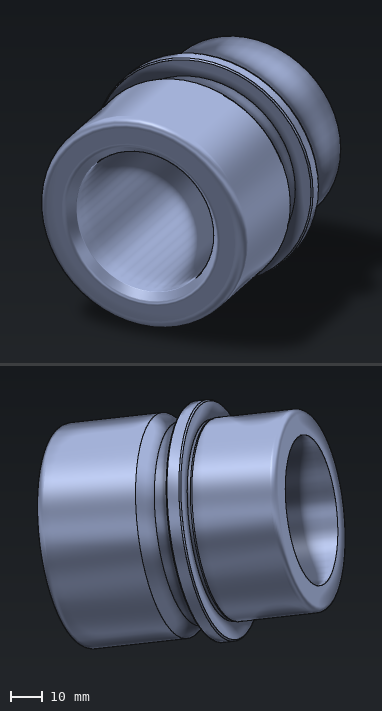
import cadquery as cq
import math

length = 80.0

head_radius = 36.0
neck_radius = 32.5
flange_radius = 38.5
relief_depth = 0.3

head_end = 34.0
taper_end = 39.0
flange_start = 45.0
flange_width = 5.0
relief_start = 51.7
relief_ramp = 0.6

front_fillet = 3.0
rear_fillet = 2.0
flange_chamfer = 0.5

bore_radius = 24.0
lead_in_outer_radius = 26.3
mouth_round = 2.0
throat_round = 0.5
cone_angle = math.pi / 4
half_cone_angle = cone_angle / 2
mouth_radius = lead_in_outer_radius + mouth_round * math.sin(cone_angle)
lead_in_start = mouth_round * (1 - math.cos(cone_angle))
lead_in_inner_radius = bore_radius + throat_round * (1 - math.cos(cone_angle))
lead_in_end = lead_in_start + lead_in_outer_radius - lead_in_inner_radius
throat_end = lead_in_end + throat_round * math.sin(cone_angle)


def revolve_about_y(profile):
    return profile.close().revolve(360, (0, 0, 0), (0, 1, 0))


def make_body():
    """Solid head, taper, neck and relief groove."""
    flange_end = flange_start + flange_width
    relief_radius = neck_radius - relief_depth
    profile = (
        cq.Workplane("XY")
        .lineTo(head_radius, 0)
        .lineTo(head_radius, head_end)
        .lineTo(neck_radius, taper_end)
        .lineTo(neck_radius, flange_end)
        .lineTo(relief_radius, flange_end)
        .lineTo(relief_radius, relief_start - relief_ramp)
        .lineTo(neck_radius, relief_start)
        .lineTo(neck_radius, length)
        .lineTo(0, length)
    )
    body = revolve_about_y(profile)
    body = body.faces("<Y").edges().fillet(front_fillet)
    return body.faces(">Y").edges().fillet(rear_fillet)


def make_flange():
    """Collar with a chamfer on each rim."""
    flange = (
        cq.Workplane("XZ", origin=(0, flange_start, 0))
        .circle(flange_radius)
        .extrude(-flange_width)
    )
    return flange.edges().chamfer(flange_chamfer)


def make_bore():
    """Through bore with a conical lead-in, rounded at its mouth and throat."""
    mouth_middle = (
        mouth_radius - mouth_round * math.sin(half_cone_angle),
        mouth_round * (1 - math.cos(half_cone_angle)),
    )
    throat_middle = (
        bore_radius + throat_round * (1 - math.cos(half_cone_angle)),
        throat_end - throat_round * math.sin(half_cone_angle),
    )
    profile = (
        cq.Workplane("XY")
        .lineTo(mouth_radius, 0)
        .threePointArc(mouth_middle, (lead_in_outer_radius, lead_in_start))
        .lineTo(lead_in_inner_radius, lead_in_end)
        .threePointArc(throat_middle, (bore_radius, throat_end))
        .lineTo(bore_radius, length)
        .lineTo(0, length)
    )
    return revolve_about_y(profile)


result = make_body().union(make_flange()).cut(make_bore())